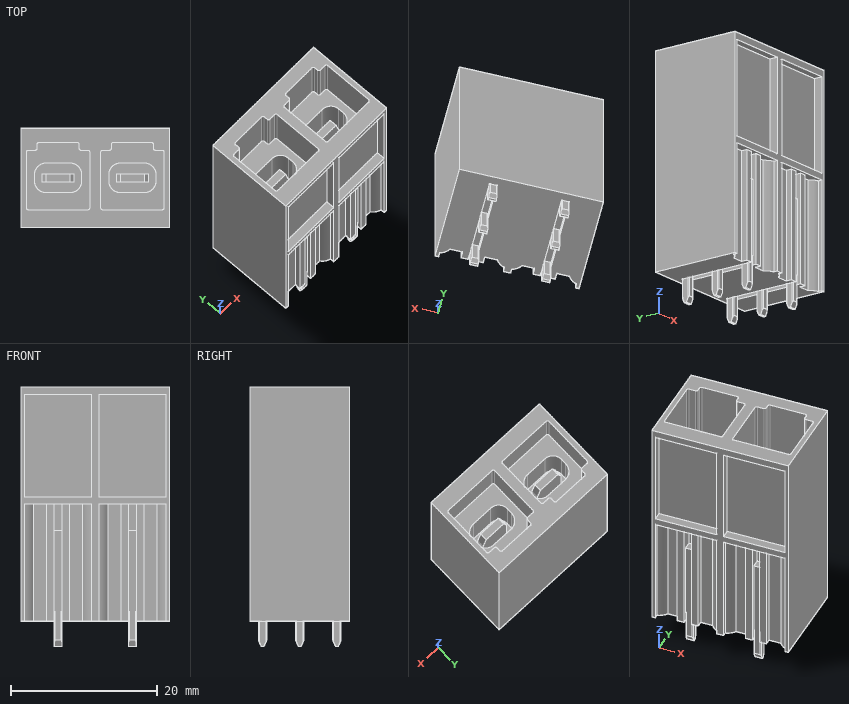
import cadquery as cq
import math

housing_width = 20.3
housing_depth = 13.6
overall_height = 35.5
housing_height = 32.02
front_y = -housing_depth / 2

pitch = 10.15
cell_centres = (-pitch / 2, pitch / 2)

pocket_width = 8.65
pocket_front_y = -4.35
pocket_back_y = 3.75
pocket_depth = 7.65
tongue_width = 5.75
tongue_back_y = 4.83
pocket_corner_radius = 0.25
pocket_floor_z = housing_height - pocket_depth

well_width = 6.45
well_length_y = 4.05
well_corner_radius = 1.6
well_floor_z = 15.98

window_width = 9.12
panel_top_z = 30.95
panel_bottom_z = 17.0
panel_recess = 1.28
duct_top_z = 16.0

flat_y = front_y + 1.5
flat_half_width = 3.35
column_radius = 2.05
lug_outer_x = 1.55
lug_front_y = front_y + 0.6

plate_thickness = 1.1
plate_top_z = 12.4
plate_bottom_z = 1.35
leg_width = 1.17
leg_pitch = 5.08
leg_positions = (-leg_pitch, 0, leg_pitch)
leg_chamfer = 0.15
plate_length = 2 * leg_pitch + leg_width
leg_tip_z = housing_height - overall_height
leg_tip_length = 0.9
leg_tip_width = 0.35

blade_width = 4.4
blade_thickness = 1.1
blade_top_z = 23.08
blade_taper = 0.57
blade_taper_height = 2.3


def box_between(x_range, y_range, z_range):
    """Box given by its lower and upper limits along each axis."""
    corner = (x_range[0], y_range[0], z_range[0])
    return cq.Workplane("XY").box(
        x_range[1] - x_range[0],
        y_range[1] - y_range[0],
        z_range[1] - z_range[0],
        centered=False,
    ).translate(corner)


def centred_box(width, length, z_range):
    """Box centred on the Z axis between two heights."""
    return box_between((-width / 2, width / 2), (-length / 2, length / 2), z_range)


def plug_pocket():
    """Pocket and its tongue, with all upright corners rounded."""
    height_range = (pocket_floor_z, housing_height)
    half_width = pocket_width / 2
    half_tongue = tongue_width / 2
    main = box_between((-half_width, half_width), (pocket_front_y, pocket_back_y), height_range)
    tongue = box_between((-half_tongue, half_tongue), (pocket_front_y, tongue_back_y), height_range)
    return main.union(tongue).clean().edges("|Z").fillet(pocket_corner_radius)


def contact_well():
    """Rounded well below the pocket floor."""
    well = centred_box(well_width, well_length_y, (well_floor_z, pocket_floor_z))
    return well.edges("|Z").fillet(well_corner_radius)


def panel_recess_cut():
    """Flat recess in the upper front face."""
    half_width = window_width / 2
    return box_between(
        (-half_width, half_width),
        (front_y, front_y + panel_recess),
        (panel_bottom_z, panel_top_z),
    )


def duct_cut():
    """Recess in the lower front face, open at the bottom, less its two lugs and two columns."""
    half_width = window_width / 2
    half_slot = plate_thickness / 2
    recess = box_between((-half_width, half_width), (front_y, flat_y), (0, duct_top_z))
    column_y = flat_y + math.sqrt(column_radius**2 - (pitch / 2 - flat_half_width) ** 2)
    for side in (-1, 1):
        column = cq.Workplane("XY").circle(column_radius).extrude(duct_top_z)
        column = column.translate((side * pitch / 2, column_y, 0))
        lug_x_range = sorted((side * half_slot, side * lug_outer_x))
        lug = box_between(lug_x_range, (lug_front_y, flat_y), (0, duct_top_z))
        recess = recess.cut(column).cut(lug)
    return recess


def terminal_slot():
    """Slot for the plate, its open groove at the front, and the hole for the blade."""
    x_range = (-plate_thickness / 2, plate_thickness / 2)
    plate_slot = box_between(x_range, (front_y, plate_length / 2), (0, plate_top_z))
    groove_back_y = -leg_pitch + leg_width / 2
    groove = box_between(x_range, (front_y, groove_back_y), (0, duct_top_z))
    blade_hole = centred_box(blade_width, blade_thickness, (plate_top_z, well_floor_z))
    return plate_slot.union(groove).union(blade_hole)


def make_housing():
    """Housing block with the same cuts in every cell."""
    body = centred_box(housing_width, housing_depth, (0, housing_height))
    for cell_x in cell_centres:
        for cut in (plug_pocket(), contact_well(), panel_recess_cut(), duct_cut(), terminal_slot()):
            body = body.cut(cut.translate((cell_x, 0, 0)))
    return body


def make_leg():
    """Leg with chamfered upright edges and a tip that narrows along Y."""
    leg = centred_box(plate_thickness, leg_width, (leg_tip_z, plate_bottom_z))
    leg = leg.edges("|Z").chamfer(leg_chamfer)
    shoulder_z = leg_tip_z + leg_tip_length
    side_outline = (
        cq.Workplane("YZ")
        .moveTo(-leg_width / 2, plate_bottom_z)
        .lineTo(-leg_width / 2, shoulder_z)
        .lineTo(-leg_tip_width / 2, leg_tip_z)
        .lineTo(leg_tip_width / 2, leg_tip_z)
        .lineTo(leg_width / 2, shoulder_z)
        .lineTo(leg_width / 2, plate_bottom_z)
        .close()
        .extrude(plate_thickness / 2, both=True)
    )
    return leg.intersect(side_outline)


def make_terminal(cell_x):
    """One terminal, with its blade crosswise to the plate, placed in the cell centred on cell_x."""
    plate = centred_box(plate_thickness, plate_length, (plate_bottom_z, plate_top_z))
    blade = centred_box(blade_width, blade_thickness, (plate_top_z, blade_top_z))
    blade = blade.faces(">Z").edges("|Y").chamfer(blade_taper_height, blade_taper)
    terminal = plate.union(blade)
    leg = make_leg()
    for leg_y in leg_positions:
        terminal = terminal.union(leg.translate((0, leg_y, 0)))
    return terminal.translate((cell_x, 0, 0))


housing = make_housing()
terminals = [make_terminal(cell_x) for cell_x in cell_centres]

result = cq.Compound.makeCompound([housing.val(), *[terminal.val() for terminal in terminals]])